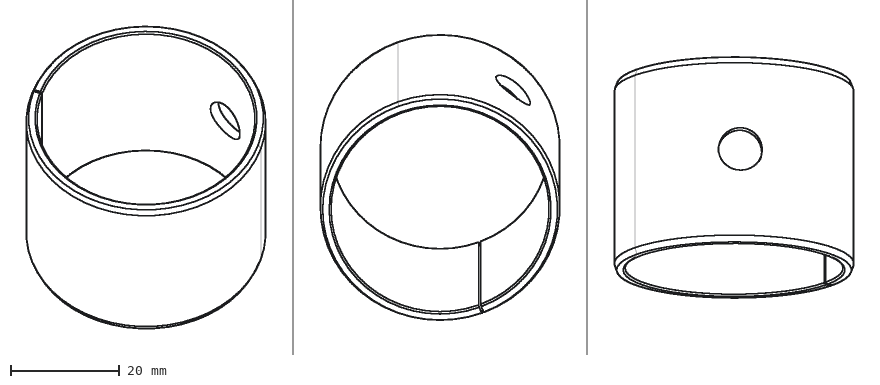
import cadquery as cq

outer_diameter = 44.0
wall_thickness = 2.0
length = 35.0
outer_chamfer_length = 1.2
outer_chamfer_depth = 0.45
inner_chamfer = 0.35
split_width = 0.4
oil_hole_diameter = 8.0
oil_hole_angle = 59.0

outer_radius = outer_diameter / 2
inner_radius = outer_radius - wall_thickness
half_length = length / 2


def make_sleeve():
    """Revolve the wall section, with its four chamfered corners, about Z."""
    outer_shoulder = half_length - outer_chamfer_length
    inner_shoulder = half_length - inner_chamfer
    end_outer_radius = outer_radius - outer_chamfer_depth
    end_inner_radius = inner_radius + inner_chamfer
    section = (
        cq.Workplane("XZ")
        .moveTo(inner_radius, -inner_shoulder)
        .lineTo(end_inner_radius, -half_length)
        .lineTo(end_outer_radius, -half_length)
        .lineTo(outer_radius, -outer_shoulder)
        .lineTo(outer_radius, outer_shoulder)
        .lineTo(end_outer_radius, half_length)
        .lineTo(end_inner_radius, half_length)
        .lineTo(inner_radius, inner_shoulder)
        .close()
    )
    return section.revolve(360, (0, 0, 0), (0, 1, 0))


def make_split():
    """Full-length slit through the wall on the -X side, with one face in the XZ plane."""
    return cq.Workplane("XY").box(
        outer_diameter, split_width, 2 * length, centered=(True, False, True)
    ).translate((-outer_radius, 0, 0))


def make_oil_hole():
    """Radial cutter through one side of the wall at mid-length."""
    cutter = cq.Workplane("YZ").circle(oil_hole_diameter / 2).extrude(outer_diameter)
    return cutter.rotate((0, 0, 0), (0, 0, 1), oil_hole_angle)


result = make_sleeve().cut(make_split()).cut(make_oil_hole())